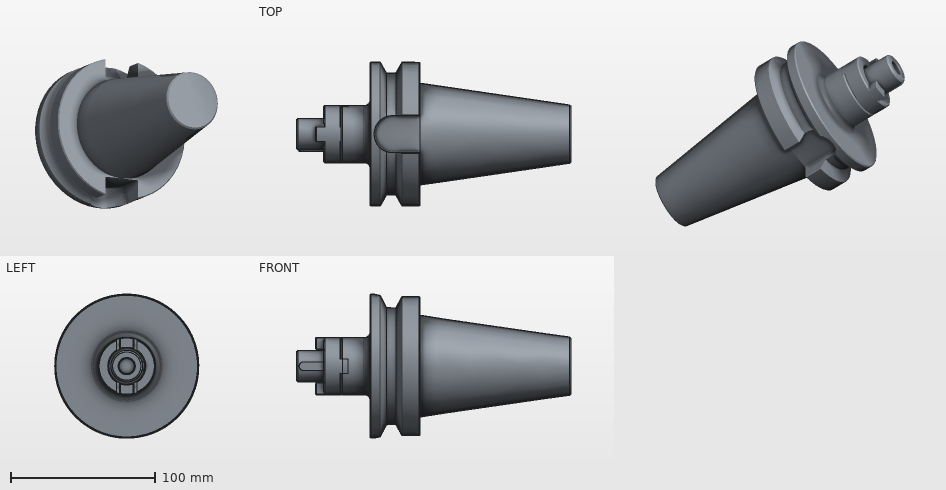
import cadquery as cq
import math


selection_margin = 0.01

gauge_diameter = 69.85
taper_per_length = 7 / 24
shank_end_x = 101.8
shank_end_chamfer = 1.0

flange_radius = 50.0
flange_rear_x = -3.0
flange_front_x = -38.0
flange_edge_chamfer = 0.8
groove_center_x = -23.2
groove_floor_width = 6.6
groove_depth = 7.5
groove_flank_angle = math.radians(30)
groove_edge_radius = 0.6

keyway_width = 25.7
keyway_floor_z = 35.4
keyway_end_x = -35.0
keyway_floor_fillet = 1.0
keyway_edge_chamfer = 0.6

hub_radius = 20.0
hub_front_x = -58.0
hub_front_chamfer = 1.0
relief_depth = 0.1
relief_run = 1.0
root_fillet = 3.5

pilot_radius = 11.0
pilot_front_x = -89.0
pilot_chamfer = 1.2
screw_hole_diameter = 10.5
screw_hole_depth = 5.0
screw_hole_chamfer = 0.7

key_width = 6.0
key_height = 6.0
key_front_x = -87.0
key_top_radius = 12.0

ring_radius = hub_radius
ring_bore_radius = 12.6
ring_length = 12.0
ring_edge_chamfer = 0.8
ring_bore_chamfer = 0.6
ring_front_x = hub_front_x - ring_length
tenon_width = 10.0
tenon_height = 5.6
tenon_tip_chamfer = 0.5
tenon_relief_width = 14.5
tenon_relief_depth = 0.7
lug_length = 5.0
lug_radius = ring_radius - relief_depth


def taper_radius(x):
    return (gauge_diameter - taper_per_length * x) / 2


def revolve_about_x(profile):
    return profile.close().revolve(360, (0, 0, 0), (1, 0, 0))


def tube(x_start, x_end, outer_radius, inner_radius):
    return (
        cq.Workplane("YZ", origin=(x_start, 0, 0))
        .circle(outer_radius)
        .circle(inner_radius)
        .extrude(x_end - x_start)
    )


def box_between(x_start, x_end, y_size, z_size):
    return cq.Workplane("XY").box(x_end - x_start, y_size, z_size).translate(((x_start + x_end) / 2, 0, 0))



def rim_circle(body, x):
    reach = flange_radius + selection_margin
    plane_slice = cq.selectors.BoxSelector(
        (x - selection_margin, -reach, -reach),
        (x + selection_margin, reach, reach),
        boundingbox=True,
    )
    return body.edges(plane_slice).edges(cq.selectors.RadiusNthSelector(-1))


def make_shank_and_flange():
    half_floor = groove_floor_width / 2
    half_mouth = half_floor + groove_depth * math.tan(groove_flank_angle)
    floor_radius = flange_radius - groove_depth
    profile = (
        cq.Workplane("XY")
        .moveTo(flange_front_x, 0)
        .lineTo(flange_front_x, flange_radius)
        .lineTo(groove_center_x - half_mouth, flange_radius)
        .lineTo(groove_center_x - half_floor, floor_radius)
        .lineTo(groove_center_x + half_floor, floor_radius)
        .lineTo(groove_center_x + half_mouth, flange_radius)
        .lineTo(flange_rear_x, flange_radius)
        .lineTo(flange_rear_x, taper_radius(flange_rear_x))
        .lineTo(shank_end_x, taper_radius(shank_end_x))
        .lineTo(shank_end_x, 0)
    )
    body = revolve_about_x(profile)
    for mouth_x in (groove_center_x - half_mouth, groove_center_x + half_mouth):
        body = rim_circle(body, mouth_x).fillet(groove_edge_radius)
    for rim_x in (flange_front_x, flange_rear_x):
        body = rim_circle(body, rim_x).chamfer(flange_edge_chamfer)
    return body.faces(">X").edges().chamfer(shank_end_chamfer)


def make_hub():
    root_radius = hub_radius - relief_depth
    root_face_x = flange_front_x + relief_depth
    fillet_start_x = root_face_x - root_fillet
    fillet_end_radius = root_radius + root_fillet
    diagonal = root_fillet * math.sqrt(0.5)
    profile = (
        cq.Workplane("XY")
        .moveTo(hub_front_x, 0)
        .lineTo(hub_front_x, hub_radius - hub_front_chamfer)
        .lineTo(hub_front_x + hub_front_chamfer, hub_radius)
        .lineTo(fillet_start_x - relief_run, hub_radius)
        .lineTo(fillet_start_x, root_radius)
        .threePointArc(
            (fillet_start_x + diagonal, fillet_end_radius - diagonal),
            (root_face_x, fillet_end_radius),
        )
        .lineTo(root_face_x, 0)
    )
    return revolve_about_x(profile)


def make_root_relief():
    dish_radius = hub_radius - relief_depth + root_fillet
    profile = (
        cq.Workplane("XY")
        .moveTo(flange_front_x, 0)
        .lineTo(flange_front_x, dish_radius + relief_run)
        .lineTo(flange_front_x + relief_depth, dish_radius)
        .lineTo(flange_front_x + relief_depth, 0)
    )
    return revolve_about_x(profile)


def make_pilot():
    return (
        cq.Workplane("YZ", origin=(pilot_front_x, 0, 0))
        .circle(pilot_radius)
        .extrude(hub_front_x - pilot_front_x)
        .faces("<X")
        .chamfer(pilot_chamfer)
    )


def make_screw_hole():
    hole_radius = screw_hole_diameter / 2
    profile = (
        cq.Workplane("XY")
        .moveTo(pilot_front_x, 0)
        .lineTo(pilot_front_x, hole_radius + screw_hole_chamfer)
        .lineTo(pilot_front_x + screw_hole_chamfer, hole_radius)
        .lineTo(pilot_front_x + screw_hole_depth, hole_radius)
        .lineTo(pilot_front_x + screw_hole_depth, 0)
    )
    return revolve_about_x(profile)


def make_keyway_cutter():
    half_width = keyway_width / 2
    height = flange_radius - keyway_floor_z
    arc_center_x = keyway_end_x + half_width

    slot = (
        cq.Workplane("XY", origin=(0, 0, keyway_floor_z))
        .moveTo(flange_rear_x, -half_width)
        .lineTo(arc_center_x, -half_width)
        .threePointArc((keyway_end_x, 0), (arc_center_x, half_width))
        .lineTo(flange_rear_x, half_width)
        .close()
        .extrude(height)
    )
    return slot.faces("<Z").edges("not >X").fillet(keyway_floor_fillet)


def make_keyway_chamfer_cutter():
    half_width = keyway_width / 2
    rim_edge_z = math.sqrt(flange_radius**2 - half_width**2)
    foot_z = rim_edge_z - keyway_edge_chamfer
    half_top = half_width + flange_radius - foot_z
    return (
        cq.Workplane("YZ", origin=(groove_center_x, 0, 0))
        .polyline([
            (-half_width, foot_z),
            (half_width, foot_z),
            (half_top, flange_radius),
            (-half_top, flange_radius),
        ])
        .close()
        .extrude(flange_rear_x - groove_center_x)
    )


def make_lug_slots():
    slots = tube(hub_front_x, hub_front_x + lug_length, hub_radius, ring_bore_radius)
    return slots.intersect(box_between(hub_front_x, hub_front_x + lug_length, 2 * hub_radius, tenon_width))



def make_key():
    length = hub_front_x - key_front_x
    return (
        cq.Workplane("XZ", origin=((key_front_x + hub_front_x) / 2, -key_top_radius, 0))
        .slot2D(length, key_width)
        .extrude(-key_height)
    )



def make_ring_body():
    relief_end_x = ring_front_x + tenon_relief_depth
    body = tube(ring_front_x, hub_front_x, ring_radius, ring_bore_radius)
    body = body.faces("<X").edges(cq.selectors.RadiusNthSelector(0)).chamfer(ring_bore_chamfer)
    body = body.edges(cq.selectors.RadiusNthSelector(-1)).chamfer(ring_edge_chamfer)
    return body.cut(box_between(ring_front_x, relief_end_x, tenon_relief_width, 2 * ring_radius))


def make_tenons():
    tip_x = ring_front_x - tenon_height
    ring_section = tube(tip_x, hub_front_x, ring_radius, ring_bore_radius)
    tenons = ring_section.intersect(box_between(tip_x, hub_front_x, tenon_width, 2 * ring_radius))
    return tenons.faces("<X").chamfer(tenon_tip_chamfer)


def make_lugs():
    root_x = ring_front_x + ring_length / 2
    slot_x = hub_front_x + hub_front_chamfer
    tip_x = hub_front_x + lug_length
    root = tube(root_x, slot_x, ring_radius, ring_bore_radius)
    tip = tube(slot_x, tip_x, lug_radius, ring_bore_radius)
    return root.union(tip).intersect(box_between(root_x, tip_x, 2 * ring_radius, tenon_width))


def make_ring():
    return make_ring_body().union(make_tenons()).union(make_lugs())



def cut_keyways(body):
    for cutter in (make_keyway_cutter(), make_keyway_chamfer_cutter()):
        body = body.cut(cutter).cut(cutter.mirror("XY"))
    return body


def make_arbor(key_seat):
    flange = make_shank_and_flange().cut(make_root_relief())
    body = flange.union(make_hub()).union(make_pilot())
    body = body.cut(make_screw_hole()).cut(make_lug_slots()).cut(key_seat)
    return cut_keyways(body)


key = make_key()
ring = make_ring()
arbor = make_arbor(key_seat=key)

result = cq.Compound.makeCompound([arbor.solids().val(), ring.solids().val(), key.val()])